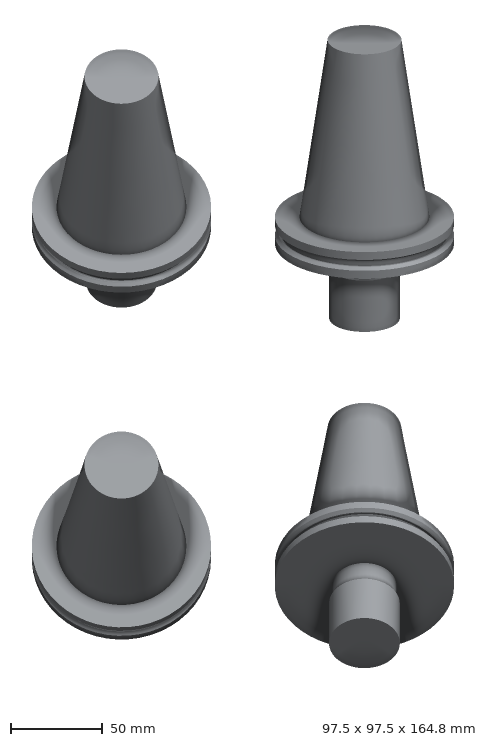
import cadquery as cq

total_height = 164.8
collar_height = 30.3
flange_bottom = 44.2
flange_top = 60.0

collar_diameter = 38.5
neck_diameter = 35.0
flange_diameter = 97.5
groove_diameter = 91.0
taper_base_diameter = 70.7
taper_tip_diameter = 40.2

lower_rim_thickness = 4.8
groove_floor_width = 3.5
bevel_height = 1.5
bevel_width = 2.0

groove_bottom = flange_bottom + lower_rim_thickness
floor_bottom = groove_bottom + bevel_height
floor_top = floor_bottom + groove_floor_width
groove_top = floor_top + bevel_height


def cylinder(diameter, bottom, top):
    """Upright cylinder centred on the Z axis."""
    return cq.Workplane("XY").workplane(offset=bottom).circle(diameter / 2).extrude(top - bottom)


def grooved_flange():
    """Flange with a flat-bottomed groove and bevelled mouth edges."""
    rim = flange_diameter / 2
    bevel_end = rim - bevel_width
    floor = groove_diameter / 2
    profile = [
        (0, flange_bottom),
        (rim, flange_bottom),
        (rim, groove_bottom),
        (bevel_end, floor_bottom),
        (floor, floor_bottom),
        (floor, floor_top),
        (bevel_end, floor_top),
        (rim, groove_top),
        (rim, flange_top),
        (0, flange_top),
    ]
    return cq.Workplane("XZ").polyline(profile).close().revolve(360, (0, 0, 0), (0, 1, 0))


def taper():
    """Conical shank standing on the flange."""
    profile = [
        (0, flange_top),
        (taper_base_diameter / 2, flange_top),
        (taper_tip_diameter / 2, total_height),
        (0, total_height),
    ]
    return cq.Workplane("XZ").polyline(profile).close().revolve(360, (0, 0, 0), (0, 1, 0))


collar = cylinder(collar_diameter, 0, collar_height)
neck = cylinder(neck_diameter, collar_height, flange_bottom)

result = collar.union(neck).union(grooved_flange()).union(taper())